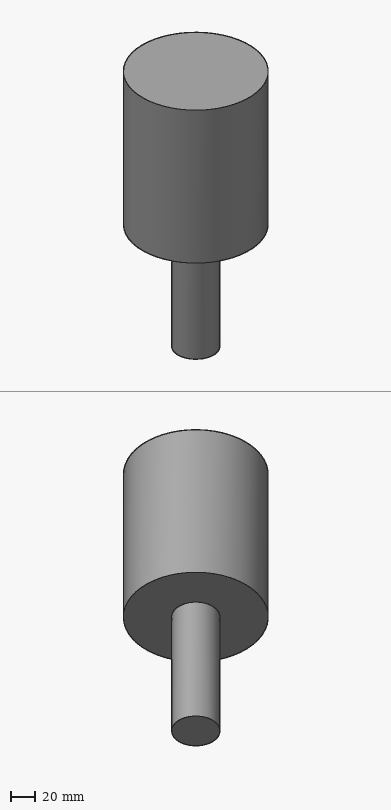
import cadquery as cq

total_height = 270.0
head_diameter = 120.0
head_height = 150.0
stem_diameter = 40.0

stem_height = total_height - head_height

stem = cq.Workplane("XY").circle(stem_diameter / 2).extrude(stem_height)

result = stem.faces(">Z").workplane().circle(head_diameter / 2).extrude(head_height)